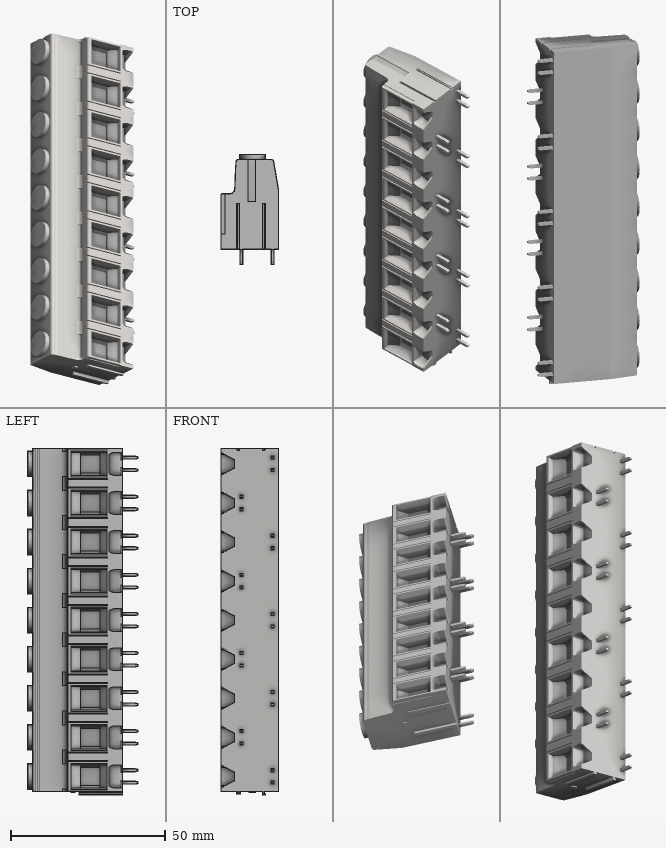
import cadquery as cq


overall_length = 112.5
tongue_height = 1.0
housing_length = overall_length - tongue_height
housing_width = 18.7
housing_height = 29.3
pole_count = 9
pole_span = 101.5
pole_pitch = pole_span / (pole_count - 1)
first_pole_z = 5.0
pole_heights = [first_pole_z + i * pole_pitch for i in range(pole_count)]

ledge_height = 18.1
ledge_edge_chamfer = 0.3
wall_foot_x = 4.4
wall_top_x = 4.8
wall_bend_height = 27.7
wall_bend_drop = 0.7
wall_bend_step = 0.1
back_slope_height = 19.6
back_top_x = 17.0
crown_radius = 0.9

web_length = 4.5
web_radius = 1.5

window_low_y = 5.1
window_high_y = 16.8
window_length = 8.4
entry_depth = 1.9
entry_end_length = 7.5
funnel_low_y = 7.3
funnel_high_y = 13.6
funnel_length = 5.9
side_taper_depth = 2.3
end_taper_depth = 0.9

slit_low_y = 5.0
slit_depth = 1.4
slit_width = 0.3
slit_offset = 5.0

notch_depth = 4.4
notch_height = 4.4
notch_lip = 0.6
lip_mouth_length = 7.2
lip_corner_length = 3.2
lip_floor_length = 2.5
lip_corner = 0.5
notch_wall_length = 7.4
notch_shoulder_length = 6.8
notch_roof_length = 6.0
notch_wall_end_y = 2.8
notch_shoulder_y = 3.9

screw_x = 10.2
screw_diameter = 8.3
screw_height = 1.6
screw_embed = 1.1

pin_size = 1.0
pin_length = 5.0
pin_embed = 1.1
pin_spacing = 4.0
pin_tip_length = 0.9
pin_tip_inset = 0.2
outer_pin_x = 16.8
inner_pin_x = 6.6

key_groove_low_x = 8.8
key_groove_high_x = 11.1
key_groove_end_y = 15.5
key_groove_depth = 0.3
nub_low_x = 9.1
nub_length = 1.2
slot_end_y = 14.9
slot_depth = 0.8
slot_step_depth = 0.3
left_slot_low_x = 5.1
right_slot_high_x = 14.5
slot_width = 1.0
slot_step_width = 0.3
tongue_end_y = 14.2
tongue_neck_width = 0.7
foot_overhang = 0.3
foot_thickness = 0.3
left_tongue_height = 0.7


def box(x, y, z):
    """Box between the (low, high) pairs given for the three axes."""
    size = [high - low for low, high in (x, y, z)]
    return cq.Workplane("XY").box(*size, centered=False).translate((x[0], y[0], z[0]))


def centered(middle, size):
    return (middle - size / 2, middle + size / 2)


def make_housing():
    outline = (
        cq.Workplane("XY")
        .moveTo(0, 0)
        .lineTo(housing_width, 0)
        .lineTo(housing_width, back_slope_height)
        .lineTo(back_top_x, housing_height)
        .lineTo(wall_top_x, housing_height)
        .lineTo(wall_top_x, wall_bend_height)
        .lineTo(wall_top_x - wall_bend_step, wall_bend_height - wall_bend_drop)
        .lineTo(wall_foot_x, ledge_height)
        .lineTo(ledge_edge_chamfer, ledge_height)
        .lineTo(0, ledge_height - ledge_edge_chamfer)
        .close()
    )
    return outline.extrude(housing_length).edges("|Z and >Y").fillet(crown_radius)


def make_webs():
    web = (
        cq.Workplane("XY")
        .moveTo(wall_foot_x - web_radius, ledge_height)
        .radiusArc((wall_foot_x, ledge_height + web_radius), -web_radius)
        .lineTo(wall_foot_x + web_radius, ledge_height + web_radius)
        .lineTo(wall_foot_x + web_radius, ledge_height)
        .close()
        .extrude(web_length)
    )
    webs = cq.Workplane("XY")
    for i in range(pole_count + 1):
        low_z = first_pole_z + (i - 0.5) * pole_pitch - web_length / 2
        webs = webs.add(web.translate((0, 0, low_z)))
    limits = box((0, housing_width), (0, housing_height), (0, housing_length))
    return webs.combine().intersect(limits)


def funnel_stage(z, start_depth, depth, mouth, floor):
    """Loft between two rectangles, each given as low Y, high Y and length along Z."""
    mouth_y = (mouth[0] + mouth[1]) / 2
    floor_y = (floor[0] + floor[1]) / 2
    return (
        cq.Workplane("YZ", origin=(start_depth, 0, 0))
        .center(mouth_y, z)
        .rect(mouth[1] - mouth[0], mouth[2])
        .workplane(offset=depth)
        .center(floor_y - mouth_y, 0)
        .rect(floor[1] - floor[0], floor[2])
        .loft(combine=True)
    )


def make_funnel(z):
    window = (window_low_y, window_high_y, window_length)
    entry_end = (window_low_y, window_high_y, entry_end_length)
    throat = (funnel_low_y, funnel_high_y, entry_end_length)
    floor = (funnel_low_y, funnel_high_y, funnel_length)
    throat_depth = entry_depth + side_taper_depth
    entry = funnel_stage(z, 0, entry_depth, window, entry_end)
    side_taper = funnel_stage(z, entry_depth, side_taper_depth, entry_end, throat)
    end_taper = funnel_stage(z, throat_depth, end_taper_depth, throat, floor)
    return entry.union(side_taper).union(end_taper)


def make_slits(z):
    slits = cq.Workplane("XY")
    for side in (-1, 1):
        slit_z = centered(z + side * slit_offset, slit_width)
        slits = slits.add(box((0, slit_depth), (slit_low_y, ledge_height), slit_z))
    return slits.combine()


def symmetric_outline(plane, origin, stations):
    """Closed outline from (position, full length) pairs, half of each length on either side of the origin."""
    lower = [(position, -length / 2) for position, length in stations]
    upper = [(position, length / 2) for position, length in reversed(stations)]
    return cq.Workplane(plane, origin=origin).polyline(lower + upper).close()


def make_notch(z):
    lip_opening = symmetric_outline("XZ", (0, 0, z), [
        (0, lip_mouth_length),
        (notch_depth - lip_corner, lip_corner_length),
        (notch_depth, lip_floor_length),
    ]).extrude(-notch_lip)
    pocket = symmetric_outline("YZ", (0, 0, z), [
        (notch_lip, notch_wall_length),
        (notch_wall_end_y, notch_wall_length),
        (notch_shoulder_y, notch_shoulder_length),
        (notch_height, notch_roof_length),
    ]).extrude(notch_depth)
    return pocket.union(lip_opening)


def make_screw_head(z):
    return (
        cq.Workplane("XZ", origin=(screw_x, housing_height - screw_embed, z))
        .circle(screw_diameter / 2)
        .extrude(-(screw_height + screw_embed))
    )


def make_pin_pair(x, z):
    pins = cq.Workplane("XY")
    for side in (-1, 1):
        pin = symmetric_outline("YZ", (x - pin_size / 2, 0, z + side * pin_spacing / 2), [
            (pin_embed, pin_size),
            (pin_tip_length - pin_length, pin_size),
            (-pin_length, pin_size - 2 * pin_tip_inset),
        ]).extrude(pin_size)
        pins = pins.add(pin)
    return pins.combine()


result = make_housing().union(make_webs())

for pole, pole_z in enumerate(pole_heights):
    pin_x = inner_pin_x if pole % 2 else outer_pin_x
    result = result.cut(make_funnel(pole_z)).cut(make_slits(pole_z)).cut(make_notch(pole_z))
    result = result.union(make_screw_head(pole_z)).union(make_pin_pair(pin_x, pole_z))

result = result.cut(box(
    (key_groove_low_x, key_groove_high_x),
    (key_groove_end_y, housing_height),
    (housing_length - key_groove_depth, housing_length),
))
result = result.union(box(
    (nub_low_x, key_groove_high_x),
    (key_groove_end_y, key_groove_end_y + nub_length),
    (-key_groove_depth, 0),
))

slot_y = (0, slot_end_y)
deep_z = (housing_length - slot_depth, housing_length)
step_z = (housing_length - slot_step_depth, housing_length)
left_step_x = left_slot_low_x + slot_step_width
left_slot_high_x = left_slot_low_x + slot_width
right_step_x = right_slot_high_x - slot_step_width
right_slot_low_x = right_slot_high_x - slot_width
result = result.cut(box((left_slot_low_x, left_slot_high_x), slot_y, step_z))
result = result.cut(box((left_step_x, left_slot_high_x), slot_y, deep_z))
result = result.cut(box((right_slot_low_x, right_slot_high_x), slot_y, step_z))
result = result.cut(box((right_slot_low_x, right_step_x), slot_y, deep_z))

tongue_y = (0, tongue_end_y)
left_neck_x = (left_step_x, left_step_x + tongue_neck_width)
left_foot_x = (left_neck_x[0] - foot_overhang, left_neck_x[1] + foot_overhang)
right_neck_x = (right_step_x - tongue_neck_width, right_step_x)
right_foot_x = (right_neck_x[0], right_neck_x[1] + foot_overhang)
for neck_x, foot_x, height in (
    (left_neck_x, left_foot_x, left_tongue_height),
    (right_neck_x, right_foot_x, tongue_height),
):
    result = result.union(box(neck_x, tongue_y, (-height, 0)))
    result = result.union(box(foot_x, tongue_y, (-height, foot_thickness - height)))